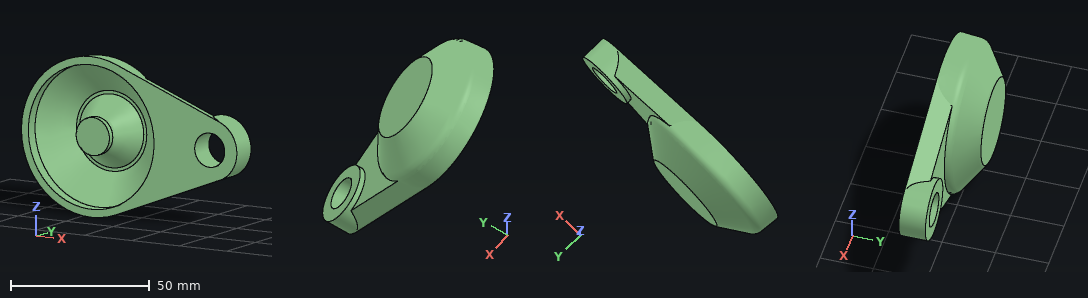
import cadquery as cq
import math

total_length = 90.9
rim_radius = 29.5
eye_radius = 11.5
eye_distance = total_length - rim_radius - eye_radius
eye_hole_diameter = 12.5
eye_height = 10.0
rim_band = 0.5

web_height = 7.8
web_side_inset = 2.2

side_end_radius = 28.9
side_end_depth = 7.4
shoulder_end_radius = 27.1
shoulder_end_depth = 10.5
shoulder_mid_radius = 28.4
shoulder_mid_depth = 9.2
back_cone_radius = 17.2
back_radius = 16.4
back_depth = 18.0
back_edge_height = 0.45

bore_radius = 53.0 / 2
bore_depth = 4.6
floor_outer_radius = 14.8
floor_inner_radius = 13.5
floor_depth = 14.2
post_tip_radius = 15.0 / 2
post_tip_depth = 4.6
pin_radius = 14.0 / 2
pin_base_depth = 3.45
pin_tip_depth = 1.1


def revolve_about_y(profile):
    return profile.close().revolve(360, (0, 0, 0), (0, 1, 0))


def dish_body():
    profile = (
        cq.Workplane("XY")
        .lineTo(rim_radius, 0)
        .lineTo(rim_radius, rim_band)
        .lineTo(side_end_radius, side_end_depth)
        .threePointArc(
            (shoulder_mid_radius, shoulder_mid_depth),
            (shoulder_end_radius, shoulder_end_depth),
        )
        .lineTo(back_cone_radius, back_depth - back_edge_height)
        .lineTo(back_radius, back_depth)
        .lineTo(0, back_depth)
    )
    return revolve_about_y(profile)


def dish_hollow():
    profile = (
        cq.Workplane("XY")
        .lineTo(bore_radius, 0)
        .lineTo(bore_radius, bore_depth)
        .lineTo(floor_outer_radius, floor_depth)
        .lineTo(floor_inner_radius, floor_depth)
        .lineTo(post_tip_radius, post_tip_depth)
        .lineTo(pin_radius, pin_base_depth)
        .lineTo(pin_radius, pin_tip_depth)
        .lineTo(0, pin_tip_depth)
    )
    return revolve_about_y(profile)


def web_section(depth, inset):
    """Trapezoid whose sides run parallel to the common tangents of rim and eye."""
    sine = (rim_radius - eye_radius) / eye_distance
    cosine = math.sqrt(1 - sine**2)
    dish_x = rim_radius * sine
    dish_z = rim_radius * cosine - inset / cosine
    eye_x = eye_distance + eye_radius * sine
    eye_z = eye_radius * cosine - inset / cosine
    corners = [(dish_x, -dish_z), (eye_x, -eye_z), (eye_x, eye_z), (dish_x, dish_z)]
    points = [cq.Vector(x, depth, z) for x, z in corners]
    return cq.Wire.makePolygon(points, close=True)


def web():
    face_strip = cq.Solid.makeLoft([web_section(0, 0), web_section(rim_band, 0)], True)
    drafted = cq.Solid.makeLoft(
        [web_section(rim_band, 0), web_section(web_height, web_side_inset)], True
    )
    return cq.Workplane(face_strip).union(cq.Workplane(drafted))


def eye_cylinder(radius):
    return cq.Workplane("XZ").center(eye_distance, 0).circle(radius).extrude(-eye_height)


result = (
    dish_body()
    .union(web())
    .union(eye_cylinder(eye_radius))
    .cut(dish_hollow())
    .cut(eye_cylinder(eye_hole_diameter / 2))
)